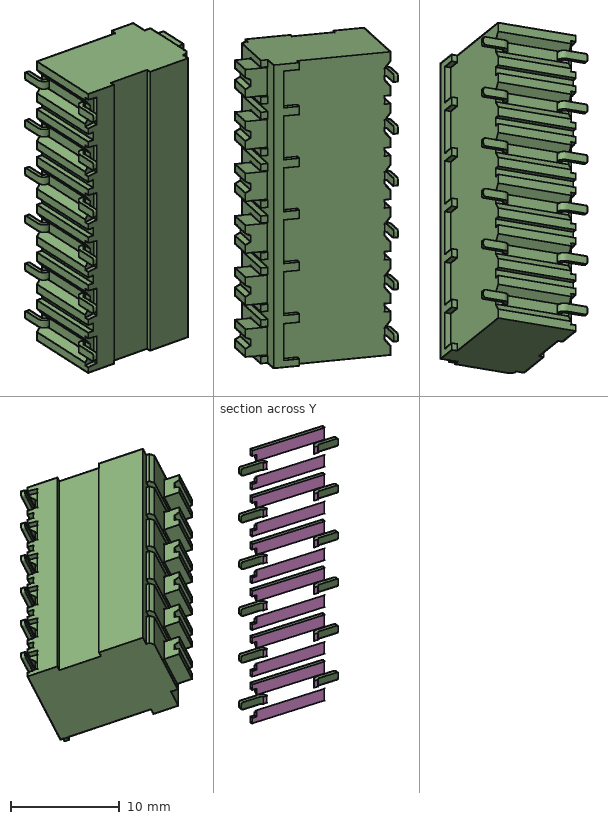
import cadquery as cq

POLES = 6
LENGTH = 29.2
SLOT_WIDTH = 0.8
POLE_HEIGHT = (LENGTH - (POLES - 1) * SLOT_WIDTH) / POLES
PITCH = POLE_HEIGHT + SLOT_WIDTH

BODY_LEFT = -3.68
BODY_RIGHT = 4.18
FOOT_Y = 0.2
SHOULDER_Y = 11.7

FLANGE_LEFT = -4.25
FLANGE_Y = 10.72
FINGER_Y = 9.23
END_FINGER_HEIGHT = 0.67

DECK_LEFT = -2.5
DECK_RIGHT = 3.4
DECK_Y = 12.38
DECK_CHAMFER = 0.35

RECESS_X = 3.7
RECESS_START_Y = 3.18
RECESS_END_Y = 7.33
POCKET_DEPTH = 1.0
POCKET_MOUTH = 3.05
POCKET_FLOOR = 2.8

GROOVE_DEPTH = 0.58
GROOVE_MOUTH = 2.45
GROOVE_FLOOR = 1.02

BUTTON_LEFT = -2.45
BUTTON_RIGHT = 0.65
BUTTON_HEIGHT = 2.7
BUTTON_Y = 13.85
BUTTON_CLEARANCE = 0.1
NOTCH_DEPTH = 0.5
NOTCH_MOUTH = 1.1
NOTCH_FLOOR = 0.58

PIN_REACH = 5.25
PIN_WIDTH = 0.8
PIN_THICKNESS = 0.4
PIN_INNER_BEND = 0.25
PIN_LEG_X = 2.55
PIN_EMBED = 0.15
PIN_TIP_RADIUS = 0.2

pole_centers = [(i - (POLES - 1) / 2) * PITCH for i in range(POLES)]
gap_centers = [z + PITCH / 2 for z in pole_centers[:-1]]


def block(x_range, y_range, height, z_center=0.0):
    """Box between two X and two Y limits, centred on a height."""
    width = x_range[1] - x_range[0]
    depth = y_range[1] - y_range[0]
    center = (sum(x_range) / 2, sum(y_range) / 2, z_center)
    return cq.Workplane("XY").box(width, depth, height).translate(center)


def tapered_bar(x_range, mouth_y, floor_y, mouth, floor, z_center):
    """Bar along X with a trapezoid section, used to cut grooves and notches."""
    return (
        cq.Workplane("YZ", origin=(x_range[0], 0, z_center))
        .moveTo(mouth_y, -mouth / 2)
        .lineTo(floor_y, -floor / 2)
        .lineTo(floor_y, floor / 2)
        .lineTo(mouth_y, mouth / 2)
        .close()
        .extrude(x_range[1] - x_range[0])
    )


def make_housing():
    housing = block((BODY_LEFT, BODY_RIGHT), (FOOT_Y, SHOULDER_Y), LENGTH)
    deck = block((DECK_LEFT, DECK_RIGHT), (SHOULDER_Y, DECK_Y), LENGTH)
    deck = deck.edges("|Z and >X and >Y").chamfer(DECK_CHAMFER)
    flange = block((FLANGE_LEFT, BODY_LEFT), (FLANGE_Y, SHOULDER_Y), LENGTH)
    housing = housing.union(deck).union(flange)

    finger_x = (FLANGE_LEFT, BODY_LEFT)
    finger_y = (FINGER_Y, FLANGE_Y)
    for z in gap_centers:
        housing = housing.union(block(finger_x, finger_y, SLOT_WIDTH, z))
    end_z = (LENGTH - END_FINGER_HEIGHT) / 2
    for z in (-end_z, end_z):
        housing = housing.union(block(finger_x, finger_y, END_FINGER_HEIGHT, z))

    return housing.cut(block((RECESS_X, BODY_RIGHT), (RECESS_START_Y, RECESS_END_Y), LENGTH))


def cut_gaps(housing):
    """Slots between neighbouring poles, across the foot and across the deck."""
    foot_slot_y = (FOOT_Y, FOOT_Y + GROOVE_DEPTH)
    for z in gap_centers:
        housing = housing.cut(block((BODY_LEFT, BODY_RIGHT), foot_slot_y, SLOT_WIDTH, z))
        housing = housing.cut(block((DECK_LEFT, DECK_RIGHT), (SHOULDER_Y, DECK_Y), SLOT_WIDTH, z))
    return housing


def cut_pole(housing, z):
    """Foot groove, corner pocket and button opening of one pole."""
    groove = tapered_bar(
        (BODY_LEFT, BODY_RIGHT), FOOT_Y, FOOT_Y + GROOVE_DEPTH, GROOVE_MOUTH, GROOVE_FLOOR, z
    )
    pocket = tapered_bar(
        (RECESS_X, BODY_RIGHT), FOOT_Y, FOOT_Y + POCKET_DEPTH, POCKET_MOUTH, POCKET_FLOOR, z
    )
    opening_height = BUTTON_HEIGHT + 2 * BUTTON_CLEARANCE
    opening = block((DECK_LEFT, BUTTON_RIGHT), (SHOULDER_Y, DECK_Y), opening_height, z)
    return housing.cut(groove).cut(pocket).cut(opening)


def make_button(z):
    button_x = (BUTTON_LEFT, BUTTON_RIGHT)
    button = block(button_x, (SHOULDER_Y, BUTTON_Y), BUTTON_HEIGHT, z)
    notch = tapered_bar(button_x, BUTTON_Y, BUTTON_Y - NOTCH_DEPTH, NOTCH_MOUTH, NOTCH_FLOOR, z)
    return button.cut(notch)


def make_pin():
    """Right-hand pin: a flat tail, a rounded bend and a leg into the groove floor."""
    outer_bend = PIN_INNER_BEND + PIN_THICKNESS
    leg_top = FOOT_Y + GROOVE_DEPTH + PIN_EMBED
    leg_outer_x = PIN_LEG_X + PIN_THICKNESS
    pin = (
        cq.Workplane("XY", origin=(0, 0, -PIN_WIDTH / 2))
        .moveTo(PIN_LEG_X, leg_top)
        .lineTo(PIN_LEG_X, outer_bend)
        .radiusArc((PIN_LEG_X + outer_bend, 0), -outer_bend)
        .lineTo(PIN_REACH, 0)
        .lineTo(PIN_REACH, PIN_THICKNESS)
        .lineTo(PIN_LEG_X + outer_bend, PIN_THICKNESS)
        .radiusArc((leg_outer_x, outer_bend), PIN_INNER_BEND)
        .lineTo(leg_outer_x, leg_top)
        .close()
        .extrude(PIN_WIDTH)
    )
    return pin.faces(">X").edges("|Y").fillet(PIN_TIP_RADIUS)


right_pin = make_pin()
left_pin = right_pin.mirror("YZ")

result = cut_gaps(make_housing())
for pole_z in pole_centers:
    result = cut_pole(result, pole_z)
    result = result.union(make_button(pole_z))
    for pin in (left_pin, right_pin):
        result = result.union(pin.translate((0, 0, pole_z)))